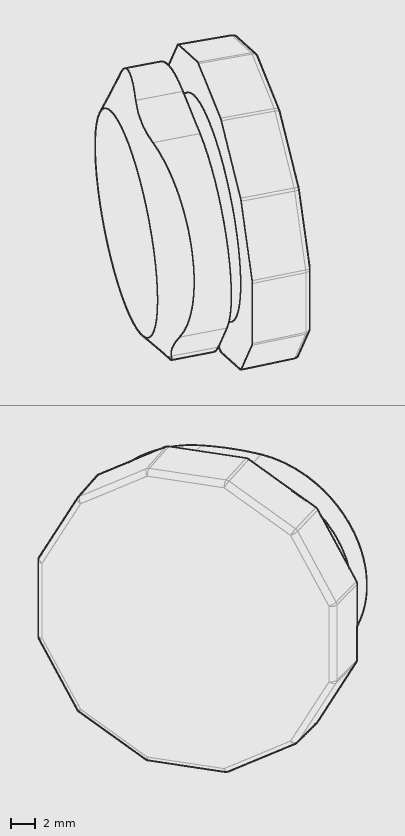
import cadquery as cq
import math

HEAD_WIDTH = 26.05
HEAD_DEPTH = 5.0
HEAD_SIDES = 12
HEAD_DRAFT = 1.0
HEAD_EDGE_RADIUS = 0.5

NECK_DIAMETER = 19.0
NECK_DEPTH = 1.5

CAP_DEPTH = 5.5
CAP_FACE_DIAMETER = NECK_DIAMETER
CAP_LOBES = 3
FIRST_LOBE_ANGLE = -90
LOBE_RADIUS = NECK_DIAMETER / 2
LOBE_OFFSET = 3.0
CAP_BEVEL_ANGLE = 40.0

CAP_FRONT_Y = 0.0
CAP_BACK_Y = CAP_FRONT_Y + CAP_DEPTH
HEAD_FRONT_Y = CAP_BACK_Y + NECK_DEPTH


def plane_at(y):
    """XZ plane at the given Y, with its normal along -Y."""
    return cq.Workplane("XZ", origin=(0, y, 0))


def polar(radius, degrees):
    angle = math.radians(degrees)
    return cq.Vector(radius * math.cos(angle), radius * math.sin(angle))


def make_head():
    """Drafted twelve-sided head with flats facing X and Z and a rounded back rim."""
    half_step = 180 / HEAD_SIDES
    corner_diameter = HEAD_WIDTH / math.cos(math.radians(half_step))
    head = (
        plane_at(HEAD_FRONT_Y)
        .transformed(rotate=(0, 0, half_step))
        .polygon(HEAD_SIDES, corner_diameter)
        .extrude(-HEAD_DEPTH, taper=HEAD_DRAFT)
    )
    head = head.edges("not #Y").fillet(HEAD_EDGE_RADIUS)
    return head.faces(">Y").edges().fillet(HEAD_EDGE_RADIUS)


def make_neck():
    return plane_at(HEAD_FRONT_Y).circle(NECK_DIAMETER / 2).extrude(NECK_DEPTH)


def lobed_outline(plane):
    """Three arcs, the first lobe pointing toward -Z, joined by tangent flats."""
    lobe_step = 360 / CAP_LOBES
    outline = plane
    for lobe in range(CAP_LOBES):
        direction = FIRST_LOBE_ANGLE + lobe * lobe_step
        centre = polar(LOBE_OFFSET, direction)
        start, middle, end = (
            (centre + polar(LOBE_RADIUS, direction + turn)).toTuple()[:2]
            for turn in (-lobe_step / 2, 0, lobe_step / 2)
        )
        outline = outline.moveTo(*start) if lobe == 0 else outline.lineTo(*start)
        outline = outline.threePointArc(middle, end)
    return outline.close()


def make_cap():
    """Lobed prism trimmed by a cone that opens from the round front face."""
    prism = lobed_outline(plane_at(CAP_BACK_Y)).extrude(CAP_DEPTH)
    face_radius = CAP_FACE_DIAMETER / 2
    cone_radius = face_radius + CAP_DEPTH / math.tan(math.radians(CAP_BEVEL_ANGLE))
    cone = cq.Workplane("XY").polyline(
        [
            (0, CAP_FRONT_Y),
            (face_radius, CAP_FRONT_Y),
            (cone_radius, CAP_BACK_Y),
            (0, CAP_BACK_Y),
        ]
    ).close().revolve(360, (0, 0), (0, 1))
    return prism.intersect(cone)


result = make_head().union(make_neck()).union(make_cap())